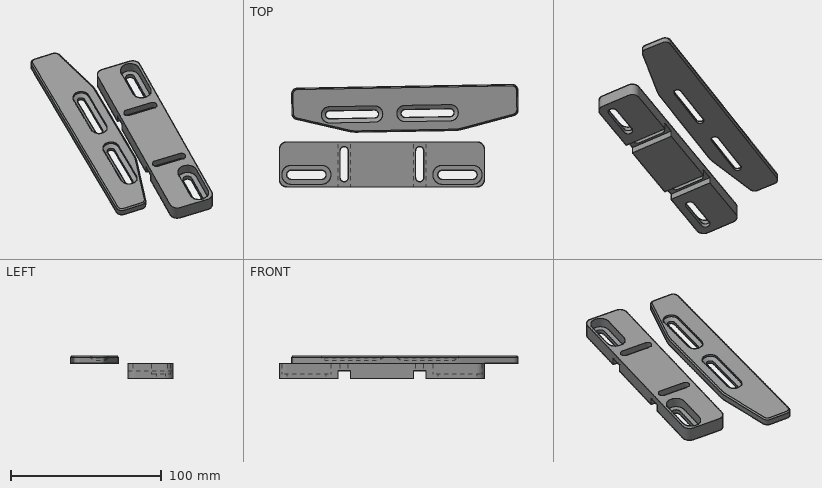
import cadquery as cq
import math

BASE_LENGTH = 136.0
BASE_WIDTH = 30.0
BASE_HEIGHT = 10.0
BASE_CORNER_RADIUS = 5.0

SLOT_SPACING = 50.0
CROSS_SLOT_LENGTH = 23.1
CROSS_SLOT_WIDTH = 5.2
CROSS_SLOT_Y = 0.2

GROOVE_WIDTH = 8.0
GROOVE_DEPTH = 5.0

MOUNT_SPACING = 2 * SLOT_SPACING
MOUNT_SLOT_LENGTH = 26.0
MOUNT_SLOT_WIDTH = 6.0
MOUNT_RECESS_MARGIN = 3.3
MOUNT_RECESS_DEPTH = 7.0
MOUNT_Y = 8.0 - BASE_WIDTH / 2

PLATE_LENGTH = 150.0
PLATE_DEPTH = 30.0
PLATE_THICKNESS = 5.0
PLATE_SIDE_LENGTH = 20.0
PLATE_FRONT_LENGTH = 70.0
PLATE_END_RADIUS = 4.0
PLATE_FRONT_RADIUS = 20.0
PLATE_CHAMFER = 1.0
PLATE_ANGLE = 1.0
PLATE_X = 15.0
PLATE_Y = 51.8

PLATE_SLOT_LENGTH = 35.0
PLATE_SLOT_WIDTH = 5.0
PLATE_SLOT_CENTRE_X = -10.1
PLATE_SLOT_Y = -18.0
SINK_MARGIN = 2.9
SINK_RIM_DEPTH = 1.5
SINK_SLOPE_ANGLE = 30
SINK_SLOPE_DEPTH = SINK_MARGIN * math.tan(math.radians(SINK_SLOPE_ANGLE))


def pair(middle, spacing):
    """Return the two positions either side of a middle."""
    return [middle - spacing / 2, middle + spacing / 2]


def slot_cutter(x, y, bottom, height, length, width, angle=0):
    """Make a vertical prism with rounded ends."""
    return cq.Workplane("XY", origin=(x, y, bottom)).slot2D(length, width, angle).extrude(height)


def make_base():
    base = cq.Workplane("XY").box(BASE_LENGTH, BASE_WIDTH, BASE_HEIGHT, centered=(True, True, False))
    base = base.edges("|Z").fillet(BASE_CORNER_RADIUS)

    for x in pair(0, SLOT_SPACING):
        base = base.cut(slot_cutter(x, CROSS_SLOT_Y, 0, BASE_HEIGHT, CROSS_SLOT_LENGTH, CROSS_SLOT_WIDTH, 90))
        groove = cq.Workplane("XY").box(GROOVE_WIDTH, BASE_WIDTH, GROOVE_DEPTH, centered=(True, True, False))
        base = base.cut(groove.translate((x, 0, 0)))

    recess_length = MOUNT_SLOT_LENGTH + 2 * MOUNT_RECESS_MARGIN
    recess_width = MOUNT_SLOT_WIDTH + 2 * MOUNT_RECESS_MARGIN
    recess_floor = BASE_HEIGHT - MOUNT_RECESS_DEPTH
    for x in pair(0, MOUNT_SPACING):
        base = base.cut(slot_cutter(x, MOUNT_Y, 0, BASE_HEIGHT, MOUNT_SLOT_LENGTH, MOUNT_SLOT_WIDTH))
        base = base.cut(slot_cutter(x, MOUNT_Y, recess_floor, MOUNT_RECESS_DEPTH, recess_length, recess_width))
    return base


def plate_blank():
    """Make the plate outline with rounded corners and a chamfered upper rim."""
    half_length = PLATE_LENGTH / 2
    half_front = PLATE_FRONT_LENGTH / 2
    outline = [
        (-half_length, 0),
        (-half_length, -PLATE_SIDE_LENGTH),
        (-half_front, -PLATE_DEPTH),
        (half_front, -PLATE_DEPTH),
        (half_length, -PLATE_SIDE_LENGTH),
        (half_length, 0),
    ]
    blank = cq.Workplane("XY").polyline(outline).close().extrude(PLATE_THICKNESS)
    blank = blank.edges("|Z and (<X or >X)").fillet(PLATE_END_RADIUS)
    front_corners = blank.faces("<Y").edges("|Z").vals()
    blank = blank.newObject(front_corners).fillet(PLATE_FRONT_RADIUS)
    return blank.faces(">Z").chamfer(PLATE_CHAMFER)


def countersunk_slot(x):
    """Make the cutter for a through slot with sloping walls below a short vertical rim."""
    rim_length = PLATE_SLOT_LENGTH + 2 * SINK_MARGIN
    rim_width = PLATE_SLOT_WIDTH + 2 * SINK_MARGIN
    rim_bottom = PLATE_THICKNESS - SINK_RIM_DEPTH
    slope_bottom = rim_bottom - SINK_SLOPE_DEPTH

    through = slot_cutter(x, PLATE_SLOT_Y, 0, PLATE_THICKNESS, PLATE_SLOT_LENGTH, PLATE_SLOT_WIDTH)
    rim = slot_cutter(x, PLATE_SLOT_Y, rim_bottom, SINK_RIM_DEPTH, rim_length, rim_width)
    slope = (
        cq.Workplane("XY", origin=(x, PLATE_SLOT_Y, slope_bottom))
        .slot2D(PLATE_SLOT_LENGTH, PLATE_SLOT_WIDTH)
        .workplane(offset=SINK_SLOPE_DEPTH)
        .slot2D(rim_length, rim_width)
        .loft(ruled=True)
    )
    return through.union(slope).union(rim)


def make_plate():
    plate = plate_blank()
    for x in pair(PLATE_SLOT_CENTRE_X, SLOT_SPACING):
        plate = plate.cut(countersunk_slot(x))
    plate = plate.rotate((0, 0, 0), (0, 0, 1), PLATE_ANGLE)
    return plate.translate((PLATE_X, PLATE_Y, BASE_HEIGHT))


base = make_base()
plate = make_plate()
result = cq.Compound.makeCompound([base.val(), plate.val()])